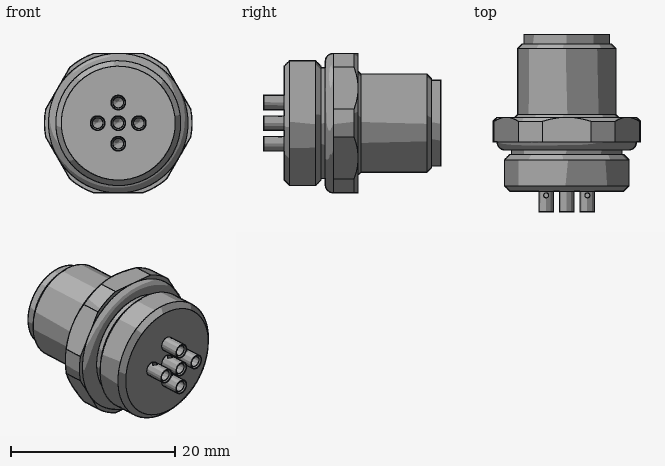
import cadquery as cq
import math


flange_diameter = 15.2
flange_bevel = 0.67
flange_end = 4.5

groove_diameter = 13.5
ring_section_diameter = 2.0
ring_end = 6.0

hex_across_flats = 17.0
hex_corner_diameter = 18.0
hex_bevel = (hex_corner_diameter - hex_across_flats) / 2
hex_end = 9.0

barrel_diameter = 12.0
barrel_root_flare = 0.32
barrel_bevel = 0.58
barrel_end = 17.95
nose_diameter = 10.45

overall_length = 21.6
pin_length = 2.5
pin_diameter = 1.8
pin_spacing = 2.5
nose_end = overall_length - pin_length

bore_diameter = 1.3
bore_depth = 1.5
mouth_diameter = 1.66
mouth_depth = (mouth_diameter - bore_diameter) / 2
drill_tip_angle = 118
pit_diameter = 0.6
pit_depth = 0.35
pit_offset = 0.5


def revolve_about_y(profile):
    """Turn an XY half profile around the Y axis."""
    return profile.close().revolve(360, (0, 0, 0), (0, 1, 0))


def make_flange_and_ring():
    flange_radius = flange_diameter / 2
    bevelled_radius = flange_radius - flange_bevel
    groove_radius = groove_diameter / 2
    ring_radius = hex_across_flats / 2
    section_radius = ring_section_diameter / 2
    section_centre = ring_radius - section_radius
    ring_crest = (section_centre, ring_end - section_radius)
    groove_end = ring_end - math.sqrt(section_radius**2 - (section_centre - groove_radius)**2)
    return revolve_about_y(
        cq.Workplane("XY")
        .moveTo(0, 0)
        .lineTo(bevelled_radius, 0)
        .lineTo(flange_radius, flange_bevel)
        .lineTo(flange_radius, flange_end - flange_bevel)
        .lineTo(bevelled_radius, flange_end)
        .lineTo(groove_radius, flange_end)
        .lineTo(groove_radius, groove_end)
        .threePointArc(ring_crest, (ring_radius, ring_end))
        .lineTo(0, ring_end)
    )


def make_hex_collar():
    across_corners = hex_across_flats / math.cos(math.pi / 6)
    hexagon = (
        cq.Workplane("XZ", origin=(0, ring_end, 0))
        .polygon(6, across_corners)
        .extrude(-(hex_end - ring_end))
    )
    corner_radius = hex_corner_diameter / 2
    turned_envelope = revolve_about_y(
        cq.Workplane("XY")
        .moveTo(0, ring_end)
        .lineTo(corner_radius, ring_end)
        .lineTo(corner_radius, hex_end - hex_bevel)
        .lineTo(corner_radius - hex_bevel, hex_end)
        .lineTo(0, hex_end)
    )
    return hexagon.intersect(turned_envelope)


def make_barrel_and_nose():
    barrel_radius = barrel_diameter / 2
    nose_radius = nose_diameter / 2
    return revolve_about_y(
        cq.Workplane("XY")
        .moveTo(0, hex_end)
        .lineTo(barrel_radius + barrel_root_flare, hex_end)
        .lineTo(barrel_radius, hex_end + barrel_root_flare)
        .lineTo(barrel_radius, barrel_end - barrel_bevel)
        .lineTo(barrel_radius - barrel_bevel, barrel_end)
        .lineTo(nose_radius, barrel_end)
        .lineTo(nose_radius, nose_end)
        .lineTo(0, nose_end)
    )


def make_pin(x, z, has_pit):
    """Return a solid pin and the cutter for its conical-bottomed bore and optional +Z side pit."""
    pin = cq.Workplane("XZ", origin=(x, 0, z)).circle(pin_diameter / 2).extrude(pin_length)

    bore_radius = bore_diameter / 2
    bore_bottom = bore_depth - pin_length
    tip_length = bore_radius / math.tan(math.radians(drill_tip_angle / 2))
    bore = revolve_about_y(
        cq.Workplane("XY")
        .moveTo(0, -pin_length)
        .lineTo(mouth_diameter / 2, -pin_length)
        .lineTo(bore_radius, mouth_depth - pin_length)
        .lineTo(bore_radius, bore_bottom)
        .lineTo(0, bore_bottom + tip_length)
    ).translate((x, 0, z))

    pit = (
        cq.Workplane("XY", origin=(x, -pit_offset, z + pin_diameter / 2))
        .circle(pit_diameter / 2)
        .extrude(-pit_depth)
    )
    cutter = bore.union(pit) if has_pit else bore
    return pin, cutter


pin_layout = [
    (0, 0, True),
    (-pin_spacing, 0, True),
    (pin_spacing, 0, True),
    (0, -pin_spacing, True),
    (0, pin_spacing, False),
]

result = make_flange_and_ring().union(make_hex_collar()).union(make_barrel_and_nose())
for x, z, has_pit in pin_layout:
    pin, cutter = make_pin(x, z, has_pit)
    result = result.union(pin).cut(cutter)